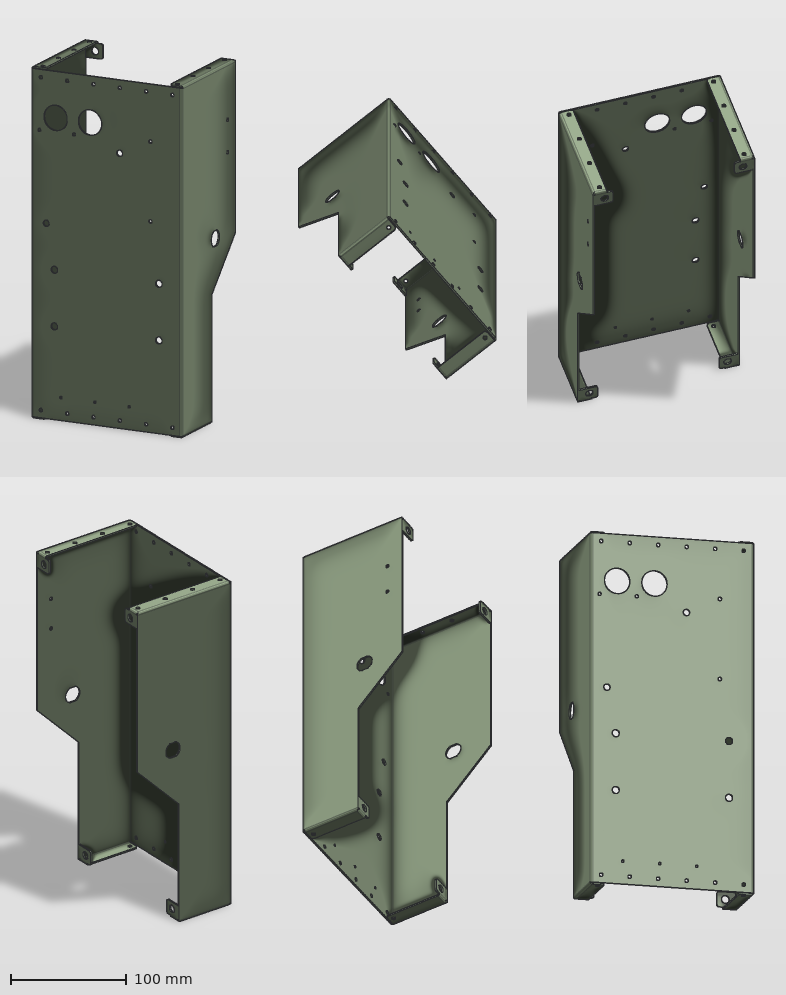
import cadquery as cq

width = 146.2
depth = 101.5
height = 314.5

sheet = 1.5
bend_inner = 0.5
bend_outer = sheet + bend_inner
bottom_depth = 57.0
slope_top_z = 2.5

flange_width = 13.0
flange_corner = 2.8
ear_width = 18.2
ear_drop = 15.7
ear_corner = 2.2
ear_hole = 7.0
ear_hole_inset = 10.7
ear_hole_drop = 9.0

flange_hole = 3.5
flange_hole_inset = 8.0
flange_hole_first = 7.0
flange_hole_pitch = 29.5
flange_hole_count = 4

row_hole = 3.0
row_pitch = 25.5
row_count = 6
row_z = 148.7
port_hole = 22.5
port_x = -49.5
port_z = 114.0
pair_pitch = 33.3
port_screw = 2.8
port_screw_x = -65.0
port_screw_z = 101.5
bracket_hole = 3.0
bracket_x = 42.5
bracket_z = (104.5, 33.0)
post_hole = 5.7
post_places = ((12.5, 90.2), (-58.5, 19.0))
mount_hole = 6.3
mount_x = 50.5
mount_z = (-21.7, -72.3)
lower_hole = 2.2
lower_start_x = -44.3
lower_pitch = 33.0
lower_count = 3
lower_z = -135.2

socket_diameter = 15.5
socket_across_flats = 14.0
socket_y = 63.5
socket_z_left = 12.5
socket_z_right = 6.3
wall_hole = 3.0
wall_hole_y = 86.8
wall_hole_z = (106.5, 77.5)

half_width = width / 2
half_height = height / 2


def block(x_range, y_range, z_range):
    """Box between the given limits."""
    corners = list(zip(x_range, y_range, z_range))
    size = [high - low for low, high in zip(*corners)]
    return cq.Workplane("XY").box(*size, centered=False).translate(corners[0])


def hole_along_y(x, z, diameter, length):
    """Cutter running from the front face towards the rear."""
    return cq.Workplane("XZ").center(x, z).circle(diameter / 2).extrude(-length)


def make_panel():
    """Front panel with both vertical bends, ending flush with the inner flange faces."""
    panel_top = half_height - sheet
    outer = (
        block((-half_width, half_width), (0, 2 * bend_outer), (-panel_top, panel_top))
        .edges("|Z and <Y")
        .fillet(bend_outer)
    )
    inner = (
        block((sheet - half_width, half_width - sheet), (sheet, 2 * bend_outer), (-panel_top, panel_top))
        .edges("|Z and <Y")
        .fillet(bend_inner)
    )
    front_zone = block((-half_width, half_width), (0, bend_outer), (-panel_top, panel_top))
    return outer.cut(inner).intersect(front_zone)


def make_side_outline():
    """Solid with the side wall's YZ outline, its rear flange corners rounded like the ear bends."""
    return (
        cq.Workplane("YZ")
        .moveTo(bend_outer, -half_height)
        .lineTo(bottom_depth - bend_outer, -half_height)
        .radiusArc((bottom_depth, bend_outer - half_height), -bend_outer)
        .lineTo(bottom_depth, slope_top_z - depth + bottom_depth)
        .lineTo(depth, slope_top_z)
        .lineTo(depth, half_height - bend_outer)
        .radiusArc((depth - bend_outer, half_height), -bend_outer)
        .lineTo(bend_outer, half_height)
        .close()
        .extrude(width, both=True)
    )


def make_wall():
    """Left side wall with its top and bottom flanges."""
    outer = (
        block((-half_width, 0), (0, depth), (-half_height, half_height))
        .edges("|Y and <X")
        .fillet(bend_outer)
    )
    inner = (
        block((sheet - half_width, 0), (0, depth), (sheet - half_height, half_height - sheet))
        .edges("|Y and <X")
        .fillet(bend_inner)
    )
    trim = (
        block((-half_width, flange_width - half_width), (bend_outer, depth), (-half_height, half_height))
        .edges("|Z and >X and <Y")
        .fillet(flange_corner)
    )
    return outer.cut(inner).intersect(trim).intersect(make_side_outline())


def make_ear(rear, side):
    """Ear turned in at the rear end of the top (side = 1) or bottom (side = -1) flange of the left wall."""
    plate_top = half_height - bend_outer
    plate_bottom = half_height - ear_drop
    plate = (
        block((bend_outer - half_width, ear_width - half_width), (rear - sheet, rear), (plate_bottom, plate_top))
        .edges("|Y and >X")
        .fillet(ear_corner)
    )
    bend = (
        cq.Workplane("YZ")
        .moveTo(rear, plate_top)
        .radiusArc((rear - bend_outer, half_height), -bend_outer)
        .lineTo(rear - bend_outer, half_height - sheet)
        .radiusArc((rear - sheet, plate_top), bend_inner)
        .close()
        .extrude(flange_width - bend_outer)
        .translate((bend_outer - half_width, 0, 0))
    )
    root = block(
        (sheet / 2 - half_width, bend_outer - half_width), (rear - sheet, rear), (plate_bottom, plate_top)
    )
    hole = hole_along_y(ear_hole_inset - half_width, half_height - ear_hole_drop, ear_hole, depth)
    ear = plate.union(bend).union(root).cut(hole)
    return ear if side > 0 else ear.mirror("XY")


def panel_holes():
    """Places and diameters of all holes in the front panel, as (x, z, diameter)."""
    holes = []
    for i in range(row_count):
        x = (i - (row_count - 1) / 2) * row_pitch
        holes += [(x, row_z, row_hole), (x, -row_z, row_hole)]
    for shift in (0, pair_pitch):
        holes.append((port_x + shift, port_z, port_hole))
        holes.append((port_screw_x + shift, port_screw_z, port_screw))
    for z in bracket_z:
        holes.append((bracket_x, z, bracket_hole))
    for x, z in post_places:
        holes.append((x, z, post_hole))
    for z in mount_z:
        holes += [(-mount_x, z, mount_hole), (mount_x, z, mount_hole)]
    for i in range(lower_count):
        holes.append((lower_start_x + i * lower_pitch, lower_z, lower_hole))
    return holes


def flange_holes():
    """Cutters for the holes of the left flanges; the bottom flange has only the front one."""
    inset = flange_hole_inset - half_width
    row = [(inset, flange_hole_first + i * flange_hole_pitch) for i in range(flange_hole_count)]
    top = cq.Workplane("XY").pushPoints(row).circle(flange_hole / 2).extrude(half_height)
    bottom = cq.Workplane("XY").pushPoints(row[:1]).circle(flange_hole / 2).extrude(-half_height)
    return top.union(bottom)


def socket_hole(z, side):
    """Round cutter with flats above and below, through the left (-1) or right (1) wall."""
    round_part = cq.Workplane("YZ").center(socket_y, z).circle(socket_diameter / 2).extrude(side * width)
    flats = block(
        (-width, width),
        (socket_y - socket_diameter, socket_y + socket_diameter),
        (z - socket_across_flats / 2, z + socket_across_flats / 2),
    )
    return round_part.intersect(flats)


left_side = make_wall().union(make_ear(depth, 1)).union(make_ear(bottom_depth, -1)).cut(flange_holes())
result = make_panel().union(left_side).union(left_side.mirror("YZ"))

for hole_x, hole_z, hole_diameter in panel_holes():
    result = result.cut(hole_along_y(hole_x, hole_z, hole_diameter, bend_outer))

result = result.cut(socket_hole(socket_z_left, -1)).cut(socket_hole(socket_z_right, 1))
for hole_z in wall_hole_z:
    result = result.cut(
        cq.Workplane("YZ").center(wall_hole_y, hole_z).circle(wall_hole / 2).extrude(width)
    )